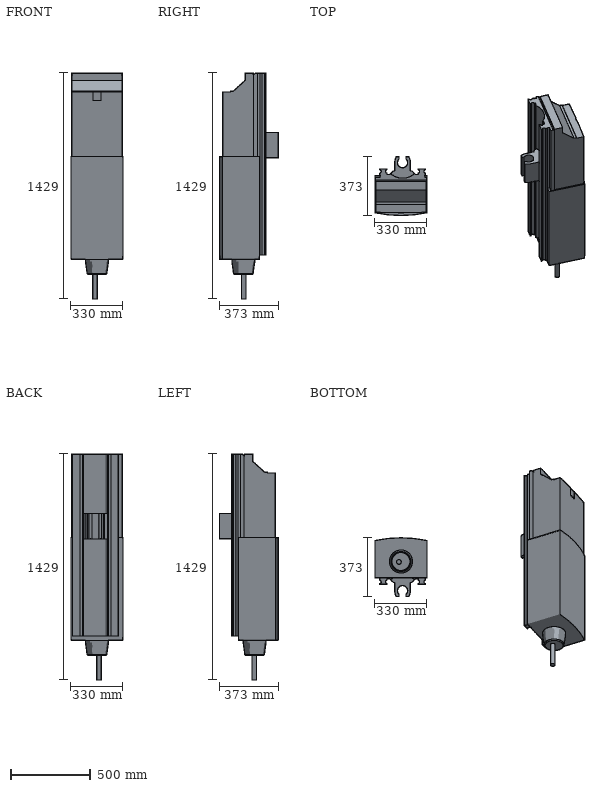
import cadquery as cq
import math


total_height = 1429.0
cover_top = 902.0
rail_bottom = 279.0
cover_bottom = 252.0

cover_width = 330.0
cover_back = 67.0
cover_corner_y = -169.0
cover_front = -186.5
cap_taper = 3.0
cap_fillet = 6.0

flange_width = 323.0
flange_back = 55.0
hood_width = 315.0
hood_back = 30.0
hood_corner_y = -165.0
hood_ridge_y = -169.0

rear_deck_front = -25.0
slope_top = 1383.0
slope_foot_y = -100.0
ledge_front = -117.0
ledge_z = 1315.0
front_deck_z = 1310.0

groove_back = 40.0
groove_depth = 11.0

pocket_floor_y = -166.0
pocket_width = 49.0
pocket_height = 55.0

rail_x = 10.0
rail_floor = 75.0
foot_offset = 121.0
foot_half = 23.6
foot_base_half = 20.0
undercut_top = 70.0
neck_half = 15.0
foot_top = 81.0
neck_bottom = 95.0
neck_top = 97.0
lip_bottom = 105.0
rail_back = 109.3

channel_half = 76.0
channel_edge = 80.0
channel_bottom = 50.0

clip_bottom = 893.0
clip_top = 1055.0
clip_shoulder = 97.0
clip_half = 50.0
clip_tip = 186.5
clip_tip_half = 40.0
clip_mouth_half = 21.0
bore_radius = 31.0
bore_y = 149.0

gland_y = -36.0
gland_radius = 73.0
gland_end_radius = 63.0
gland_tip_radius = 57.0
gland_collar_z = 236.0
gland_taper_z = 163.0
gland_bottom = 156.0
cable_x = -13.0
cable_y = -33.0
cable_diameter = 30.0


def cover_outline(z):
    """Outline of the cover at height z: straight sides and back, bowed front."""
    half = cover_width / 2
    return (
        cq.Workplane("XY", origin=(0, 0, z))
        .moveTo(-half, cover_back)
        .lineTo(-half, cover_corner_y)
        .threePointArc((0, cover_front), (half, cover_corner_y))
        .lineTo(half, cover_back)
        .close()
    )


def cover():
    """Lower cover, closed by a slightly tapered cap with rounded bottom edges at its sides."""
    shell = cover_outline(rail_bottom).extrude(cover_top - rail_bottom)
    cap = cover_outline(rail_bottom).extrude(cover_bottom - rail_bottom, taper=cap_taper)
    rounded_cap = cap.faces("<Z").edges("<X or >X").fillet(cap_fillet)
    return shell.union(rounded_cap)


def hood():
    """Upper section: ridged front, stepped and sloping top, V groove and label pocket."""
    half = hood_width / 2
    height = total_height - rail_bottom
    plan = (
        cq.Workplane("XY", origin=(0, 0, rail_bottom))
        .polyline([
            (-half, hood_back),
            (-half, hood_corner_y),
            (0, hood_ridge_y),
            (half, hood_corner_y),
            (half, hood_back),
        ])
        .close()
        .extrude(height)
    )
    flange = (
        cq.Workplane("XY", origin=(0, 0, rail_bottom))
        .center(0, (hood_back + flange_back) / 2)
        .rect(flange_width, flange_back - hood_back)
        .extrude(height)
    )
    front_cut = (
        cq.Workplane("YZ")
        .polyline([
            (rear_deck_front, total_height),
            (rear_deck_front, slope_top),
            (slope_foot_y, ledge_z),
            (ledge_front, ledge_z),
            (ledge_front, front_deck_z),
            (cover_front, front_deck_z),
            (cover_front, total_height),
        ])
        .close()
        .extrude(half, both=True)
    )
    groove_front = groove_back - groove_depth
    groove = (
        cq.Workplane("YZ")
        .polyline([
            (groove_back, total_height),
            (groove_front, total_height - groove_depth),
            (groove_front, total_height),
        ])
        .close()
        .extrude(flange_width / 2, both=True)
    )
    pocket = (
        cq.Workplane("XY", origin=(0, 0, front_deck_z - pocket_height))
        .center(0, (pocket_floor_y + cover_front) / 2)
        .rect(pocket_width, pocket_floor_y - cover_front)
        .extrude(pocket_height)
    )
    return plan.union(flange).cut(front_cut).cut(groove).cut(pocket)


def rail_foot(side):
    """One T-shaped foot of the rail, standing on the flange, its neck flaring out to the base."""
    return (
        cq.Workplane("XY", origin=(rail_x + side * foot_offset, 0, rail_bottom))
        .moveTo(0, rail_back)
        .lineTo(foot_half, rail_back)
        .lineTo(foot_half, lip_bottom)
        .lineTo(neck_half, neck_top)
        .lineTo(neck_half, neck_bottom)
        .tangentArcPoint((foot_half, foot_top), relative=False)
        .lineTo(foot_half, undercut_top)
        .lineTo(foot_base_half, undercut_top)
        .lineTo(foot_base_half, flange_back)
        .lineTo(0, flange_back)
        .mirrorY()
        .extrude(total_height - rail_bottom)
    )


def rail():
    """Mounting rail: floor with a round-bottomed channel, and a foot on each side."""
    rim = channel_half + channel_edge - rail_floor
    floor = (
        cq.Workplane("XY", origin=(rail_x, 0, rail_bottom))
        .moveTo(-foot_offset, flange_back)
        .lineTo(-foot_offset, rail_floor)
        .lineTo(-rim, rail_floor)
        .lineTo(-channel_half, channel_edge)
        .lineTo(channel_half, channel_edge)
        .lineTo(rim, rail_floor)
        .lineTo(foot_offset, rail_floor)
        .lineTo(foot_offset, flange_back)
        .close()
        .extrude(total_height - rail_bottom)
    )
    return floor.union(rail_foot(-1)).union(rail_foot(1))


def channel():
    """Cutter for the channel along the whole rail."""
    return (
        cq.Workplane("XY", origin=(rail_x, 0, rail_bottom))
        .moveTo(-channel_half, channel_edge)
        .threePointArc((0, channel_bottom), (channel_half, channel_edge))
        .close()
        .extrude(total_height - rail_bottom)
    )


def gland_and_cable():
    """Tapered cable gland under the cover, with the cable hanging from it."""
    gland = (
        cq.Workplane("XZ", origin=(0, gland_y, 0))
        .polyline([
            (0, cover_bottom),
            (gland_radius, cover_bottom),
            (gland_radius, gland_collar_z),
            (gland_end_radius, gland_taper_z),
            (gland_tip_radius, gland_bottom),
            (0, gland_bottom),
        ])
        .close()
        .revolve(360, (0, 0, 0), (0, 1, 0))
    )
    cable = (
        cq.Workplane("XY")
        .center(cable_x, cable_y)
        .circle(cable_diameter / 2)
        .extrude(gland_bottom)
    )
    return gland.union(cable)


def build_housing():
    """Housing with rail, cover, gland and cable as one solid."""
    return hood().union(rail()).union(cover()).cut(channel()).union(gland_and_cable())


def jaw_side_middle():
    """Middle point of a jaw's outer arc, which is tangent to the straight side at bore height."""
    inset = clip_half - clip_tip_half
    rise = clip_tip - bore_y
    radius = (inset**2 + rise**2) / (2 * inset)
    half_angle = math.asin(rise / radius) / 2
    return (clip_half - radius * (1 - math.cos(half_angle)), bore_y + radius * math.sin(half_angle))


def build_clip():
    """Pole clip: round base in the channel and two jaws around an open bore."""
    shoulder_half = channel_half - (clip_shoulder - channel_edge)
    mouth_y = bore_y + math.sqrt(bore_radius**2 - clip_mouth_half**2)
    side_middle_x, side_middle_y = jaw_side_middle()
    return (
        cq.Workplane("XY", origin=(rail_x, 0, clip_bottom))
        .moveTo(-channel_half, channel_edge)
        .threePointArc((0, channel_bottom), (channel_half, channel_edge))
        .lineTo(shoulder_half, clip_shoulder)
        .lineTo(clip_half, clip_shoulder)
        .lineTo(clip_half, bore_y)
        .threePointArc((side_middle_x, side_middle_y), (clip_tip_half, clip_tip))
        .lineTo(clip_mouth_half, clip_tip)
        .lineTo(clip_mouth_half, mouth_y)
        .threePointArc((0, bore_y - bore_radius), (-clip_mouth_half, mouth_y))
        .lineTo(-clip_mouth_half, clip_tip)
        .lineTo(-clip_tip_half, clip_tip)
        .threePointArc((-side_middle_x, side_middle_y), (-clip_half, bore_y))
        .lineTo(-clip_half, clip_shoulder)
        .lineTo(-shoulder_half, clip_shoulder)
        .close()
        .extrude(clip_top - clip_bottom)
    )


housing = build_housing()
clip = build_clip()

result = cq.Compound.makeCompound([housing.val(), clip.val()])